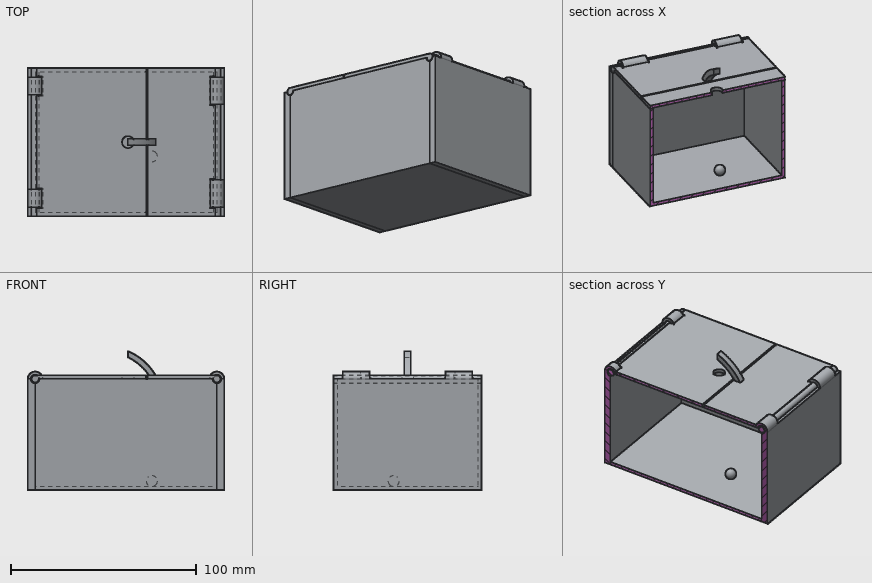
import cadquery as cq
import math

LENGTH = 106.0
DEPTH = 80.0
WALL_TOP = 60.0
MID_Y = DEPTH / 2

SIDE_THICKNESS = 4.0
BOX_WALL = 2.1

LEFT_AXIS = SIDE_THICKNESS
RIGHT_AXIS = LENGTH - SIDE_THICKNESS
PIN_RADIUS = 4.0 / 2
BORE_RADIUS = 4.5 / 2
KNUCKLE_RADIUS = SIDE_THICKNESS
KNUCKLE_INSET = 5.0
LEFT_KNUCKLE_LENGTH = 9.5
RIGHT_KNUCKLE_LENGTH = 14.6
KNUCKLE_END_CLEARANCE = 0.5

LID_THICKNESS = PIN_RADIUS
LID_TOP = WALL_TOP + LID_THICKNESS
LID_SETBACK = 1.0
LEFT_LID_END = 63.8
RIGHT_LID_END = 64.7

HOLE_X = 54.1
HOLE_RADIUS = 6.5 / 2
HOOK_WIDTH = 3.6
HOOK_TIP_TOP = 75.0
HOOK_TIP_HEIGHT = 3.4
HOOK_ROOT_LEFT = 65.3
HOOK_ROOT_RIGHT = 69.0
HOOK_OUTER_BULGE = 1.6
HOOK_INNER_BULGE = 1.0

BALL_RADIUS = 3.0
BALL_X = 66.8
BALL_Y = 32.4


def block(x_a, x_b, y0, y1, z0, z1):
    """Box between two corners; the two X values may come in either order."""
    size = (abs(x_b - x_a), y1 - y0, z1 - z0)
    return cq.Workplane("XY").box(*size, centered=False).translate((min(x_a, x_b), y0, z0))


def hinge_cylinder(axis_x, radius, y0=0, y1=DEPTH):
    """Cylinder on a hinge axis, from y0 to y1."""
    end_plane = cq.Plane(origin=(axis_x, y0, WALL_TOP), xDir=(0, 0, 1), normal=(0, 1, 0))
    return cq.Workplane(end_plane).circle(radius).extrude(y1 - y0)


def knuckle_spans(length):
    """Y ranges of the front and back knuckles of one hinge."""
    front = (KNUCKLE_INSET, KNUCKLE_INSET + length)
    back = (DEPTH - front[1], DEPTH - front[0])
    return [front, back]


def make_box():
    """Floor with front and back walls; the side panels close its ends."""
    outer = block(LEFT_AXIS, RIGHT_AXIS, 0, DEPTH, 0, WALL_TOP)
    cavity = block(LEFT_AXIS, RIGHT_AXIS, BOX_WALL, DEPTH - BOX_WALL, BOX_WALL, WALL_TOP)
    trough = outer.cut(cavity)
    for axis_x in (LEFT_AXIS, RIGHT_AXIS):
        trough = trough.cut(hinge_cylinder(axis_x, BORE_RADIUS))
    return trough


def make_side(outer_x, axis_x, knuckle_length):
    """Side panel with two half-round knuckles over the pin."""
    panel = block(outer_x, axis_x, 0, DEPTH, 0, WALL_TOP)
    for y0, y1 in knuckle_spans(knuckle_length):
        upper_half = block(
            axis_x - KNUCKLE_RADIUS, axis_x + KNUCKLE_RADIUS, y0, y1, WALL_TOP, WALL_TOP + KNUCKLE_RADIUS
        )
        panel = panel.union(hinge_cylinder(axis_x, KNUCKLE_RADIUS, y0, y1).intersect(upper_half))
    return panel.cut(hinge_cylinder(axis_x, BORE_RADIUS))


def make_lid(axis_x, end_x, knuckle_length):
    """Lid plate, notched around the knuckles, with its hinge pin."""
    near_x = axis_x + math.copysign(LID_SETBACK, end_x - axis_x)
    lid = block(near_x, end_x, 0, DEPTH, WALL_TOP, LID_TOP)
    for y0, y1 in knuckle_spans(knuckle_length):
        notch = hinge_cylinder(
            axis_x, KNUCKLE_RADIUS, y0 - KNUCKLE_END_CLEARANCE, y1 + KNUCKLE_END_CLEARANCE
        )
        lid = lid.cut(notch)
    return lid.union(hinge_cylinder(axis_x, PIN_RADIUS))


def make_finger_hole():
    hole = cq.Workplane("XY", origin=(HOLE_X, MID_Y, WALL_TOP))
    return hole.circle(HOLE_RADIUS).extrude(LID_THICKNESS)


def arc_middle(start, end, bulge):
    """Middle point of an arc that rises by bulge to the left of the line from start to end."""
    dx = end[0] - start[0]
    dz = end[1] - start[1]
    chord = math.hypot(dx, dz)
    middle_x = (start[0] + end[0]) / 2
    middle_z = (start[1] + end[1]) / 2
    return (middle_x - bulge * dz / chord, middle_z + bulge * dx / chord)


def make_hook():
    """Curved hook that rises from the right lid and ends over the finger hole."""
    tip_top = (HOLE_X, HOOK_TIP_TOP)
    tip_bottom = (HOLE_X, HOOK_TIP_TOP - HOOK_TIP_HEIGHT)
    root_left = (HOOK_ROOT_LEFT, LID_TOP)
    root_right = (HOOK_ROOT_RIGHT, LID_TOP)
    return (
        cq.Workplane("XZ", origin=(0, MID_Y + HOOK_WIDTH / 2, 0))
        .moveTo(*tip_top)
        .threePointArc(arc_middle(tip_top, root_right, HOOK_OUTER_BULGE), root_right)
        .lineTo(*root_left)
        .threePointArc(arc_middle(tip_bottom, root_left, HOOK_INNER_BULGE), tip_bottom)
        .close()
        .extrude(HOOK_WIDTH)
    )


def make_ball():
    return cq.Workplane("XY").sphere(BALL_RADIUS).translate((BALL_X, BALL_Y, BOX_WALL + BALL_RADIUS))


box = make_box()
left_side = make_side(0, LEFT_AXIS, LEFT_KNUCKLE_LENGTH)
right_side = make_side(LENGTH, RIGHT_AXIS, RIGHT_KNUCKLE_LENGTH)
left_lid = make_lid(LEFT_AXIS, LEFT_LID_END, LEFT_KNUCKLE_LENGTH).cut(make_finger_hole())
right_lid = make_lid(RIGHT_AXIS, RIGHT_LID_END, RIGHT_KNUCKLE_LENGTH).union(make_hook())
ball = make_ball()

bodies = [box, left_side, right_side, left_lid, right_lid, ball]
result = cq.Compound.makeCompound([body.solids().val() for body in bodies])